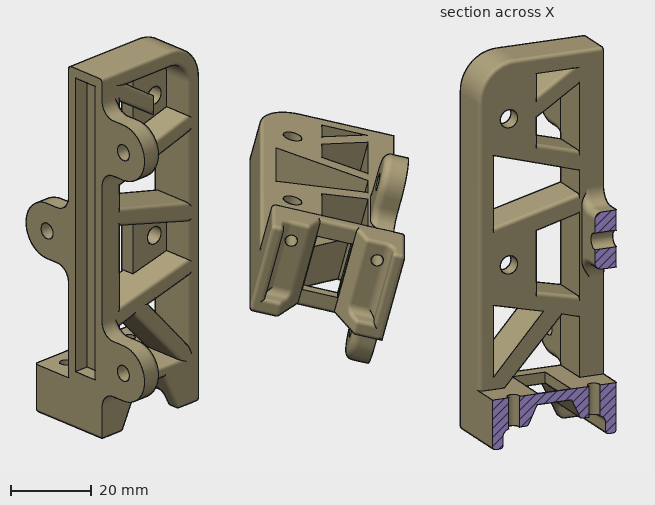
import cadquery as cq
import math

HEIGHT = 98.0
DEPTH = 34.0
COLUMN_WIDTH = 12.0
EDGE_ROUND = 1.0
TOLERANCE = 0.1

RIGHT = COLUMN_WIDTH / 2
TOP_BACK_RADIUS = 10.0
GROOVE_WIDTH = 7.0
GROOVE_DEPTH = 4.0
GROOVE_BOTTOM = 15.6
GROOVE_TOP = 95.4
CROSS_HOLE_DIAMETER = 4.7
PAD_THICKNESS = 4.0
CROSS_HOLE_Y = 25.9
CROSS_HOLE_HEIGHTS = (45.0, 83.0)

FRONT_POST = 6.6
MID_POST = 18.4
BACK_POST = 30.1
TOP_WINDOW_HEAD = 93.8

LUG_WIDTH = 15.0
LUG_RADIUS = LUG_WIDTH / 2
LUG_HOLE_X = 13.5
LUG_HOLE_DIAMETER = 4.2
LUG_THICKNESS = 6.0
LUG_ROOT_RADIUS = 4.0
LUG_EDGE_ROUND = 2.0
MIDDLE_LUG_Z = 50.6
LUG_PITCH = 30.0

BASE_LENGTH = 2 * COLUMN_WIDTH
BASE_HEIGHT = 13.1
BASE_LEFT = RIGHT - BASE_LENGTH
BASE_MID_X = RIGHT - BASE_LENGTH / 2
MID_Y = DEPTH / 2
TUNNEL_HEIGHT = 10.2
TUNNEL_TOP_WIDTH = 9.3
TUNNEL_BOTTOM_WIDTH = 19.2
END_WALL = 4.0
SIDE_WALL = 3.0
POCKET_HEIGHT = 5.0
POCKET_ROUND = 2.0
OPENING_LENGTH = 15.0
OPENING_WIDTH = 9.0
SCREW_HOLE_DIAMETER = 3.0
SCREW_HOLE_X = -13.0
SCREW_HOLE_SPACING = 22.0

ROUNDED_SILL_WINDOWS = (
    ((MID_POST, TOP_WINDOW_HEAD), (MID_POST, 87.6), (8.6, TOP_WINDOW_HEAD)),
    ((FRONT_POST, 89.9), (MID_POST, 82.4), (MID_POST, 75.4), (FRONT_POST, 72.0)),
    ((FRONT_POST, 67.0), (BACK_POST, 74.0), (BACK_POST, 55.0), (FRONT_POST, 60.8)),
    ((FRONT_POST, 56.1), (MID_POST, 52.9), (MID_POST, 36.8), (FRONT_POST, 34.1)),
)
PLAIN_WINDOWS = (
    ((BACK_POST, 35.0), (16.5, 31.7), (BACK_POST, 16.4)),
    ((FRONT_POST, BASE_HEIGHT), (FRONT_POST, 28.9), (11.4, 30.3), (27.1, BASE_HEIGHT)),
)


def height_at_back_post(start, end):
    """Height where the strut edge through two (y, z) points meets the back post."""
    (y_start, z_start), (y_end, z_end) = start, end
    return z_end + (BACK_POST - y_end) * (z_end - z_start) / (y_end - y_start)


def recess_outlines():
    """Outlines of the recesses behind the cross holes, widening the windows beside them."""
    _, upper_window, _, lower_window = ROUNDED_SILL_WINDOWS
    upper_sill = upper_window[-1], upper_window[-2]
    lower_head = lower_window[0], lower_window[1]
    lower_sill = lower_window[-1], lower_window[-2]
    upper_recess = (
        (MID_POST, TOP_WINDOW_HEAD),
        (BACK_POST, TOP_WINDOW_HEAD),
        (BACK_POST, height_at_back_post(*upper_sill)),
        upper_sill[1],
    )
    lower_recess = (
        lower_head[1],
        (BACK_POST, height_at_back_post(*lower_head)),
        (BACK_POST, height_at_back_post(*lower_sill)),
        lower_sill[1],
    )
    return upper_recess, lower_recess


def make_column():
    """Upright slab with a rounded top back corner, rounded side edges and truss windows."""
    slab = (
        cq.Workplane("XY", origin=(0, 0, BASE_HEIGHT))
        .box(COLUMN_WIDTH, DEPTH, HEIGHT - BASE_HEIGHT, centered=(True, False, False))
        .edges(">Y and >Z")
        .fillet(TOP_BACK_RADIUS)
    )
    slab = slab.faces("<X or >X").edges("not(<Y or <Z)").fillet(EDGE_ROUND)
    for outline in ROUNDED_SILL_WINDOWS + PLAIN_WINDOWS:
        window = cq.Workplane("YZ").polyline(outline).close().extrude(RIGHT, both=True)
        slab = slab.cut(window)
    for outline in ROUNDED_SILL_WINDOWS:
        (y_start, z_start), (y_end, z_end) = outline[-2:]
        sill_middle = (-RIGHT, (y_start + y_end) / 2, (z_start + z_end) / 2)
        slab = slab.edges(cq.selectors.NearestToPointSelector(sill_middle)).fillet(EDGE_ROUND)
    upper_recess, lower_recess = recess_outlines()
    recess_corner_radius = TOP_BACK_RADIUS - (DEPTH - BACK_POST)
    for outline in (upper_recess, lower_recess):
        recess = cq.Workplane("YZ", origin=(PAD_THICKNESS - RIGHT, 0, 0)).polyline(outline).close()
        recess = recess.extrude(COLUMN_WIDTH - PAD_THICKNESS)
        if outline == upper_recess:
            recess = recess.edges(">Y and >Z").fillet(recess_corner_radius)
        slab = slab.cut(recess)
    return slab


def make_cross_holes():
    """Two holes through the column along x."""
    return (
        cq.Workplane("YZ")
        .pushPoints([(CROSS_HOLE_Y, z) for z in CROSS_HOLE_HEIGHTS])
        .circle(CROSS_HOLE_DIAMETER / 2)
        .extrude(RIGHT, both=True)
    )


def make_groove():
    """Shallow upright recess in the front of the column."""
    return cq.Workplane("XY", origin=(0, 0, GROOVE_BOTTOM)).box(
        GROOVE_WIDTH, 2 * GROOVE_DEPTH, GROOVE_TOP - GROOVE_BOTTOM, centered=(True, True, False)
    )


def make_lug(side, z):
    """Rounded ear with flared roots; side is +1 for the right of the column and -1 for the left."""
    root_x = RIGHT + LUG_ROOT_RADIUS
    root_z = LUG_RADIUS + LUG_ROOT_RADIUS
    root_mid_x = root_x - LUG_ROOT_RADIUS * math.sqrt(0.5)
    root_mid_z = root_z - LUG_ROOT_RADIUS * math.sqrt(0.5)
    ear = (
        cq.Workplane("XZ")
        .moveTo(0, -root_z)
        .lineTo(RIGHT, -root_z)
        .threePointArc((root_mid_x, -root_mid_z), (root_x, -LUG_RADIUS))
        .lineTo(LUG_HOLE_X, -LUG_RADIUS)
        .threePointArc((LUG_HOLE_X + LUG_RADIUS, 0), (LUG_HOLE_X, LUG_RADIUS))
        .lineTo(root_x, LUG_RADIUS)
        .threePointArc((root_mid_x, root_mid_z), (RIGHT, root_z))
        .lineTo(0, root_z)
        .close()
        .extrude(-LUG_THICKNESS)
        .faces(">Y").edges().fillet(LUG_EDGE_ROUND)
    )
    hole = cq.Workplane("XZ").center(LUG_HOLE_X, 0).circle(LUG_HOLE_DIAMETER / 2)
    ear = ear.cut(hole.extrude(-LUG_THICKNESS))
    if side < 0:
        ear = ear.mirror("YZ")
    return ear.translate((0, 0, z))


def make_base():
    """Block with a trapezoid tunnel along x and a long pocket closed by the right end wall."""
    block = cq.Workplane("XY", origin=(BASE_MID_X, 0, 0)).box(
        BASE_LENGTH, DEPTH, BASE_HEIGHT, centered=(True, False, False)
    )
    tunnel = (
        cq.Workplane("YZ", origin=(BASE_LEFT, MID_Y, 0))
        .moveTo(-TUNNEL_BOTTOM_WIDTH / 2, 0)
        .lineTo(-TUNNEL_TOP_WIDTH / 2, TUNNEL_HEIGHT)
        .lineTo(TUNNEL_TOP_WIDTH / 2, TUNNEL_HEIGHT)
        .lineTo(TUNNEL_BOTTOM_WIDTH / 2, 0)
        .close()
        .extrude(BASE_LENGTH)
    )
    pocket = (
        cq.Workplane("XY", origin=(BASE_LEFT, SIDE_WALL, 0))
        .box(BASE_LENGTH - END_WALL, DEPTH - 2 * SIDE_WALL, POCKET_HEIGHT, centered=False)
        .faces(">Z").edges("not <X").fillet(POCKET_ROUND)
    )
    block = block.cut(tunnel).cut(pocket)

    wall_x = RIGHT - END_WALL
    left_edges = block.faces("<X").edges("not >Z")
    bottom_edges = block.faces("<Z").edges()
    right_edges = block.faces(">X").edges("not (>Z or <Y)")
    flat_height = POCKET_HEIGHT - POCKET_ROUND
    inner_side = cq.selectors.BoxSelector(
        (wall_x - TOLERANCE, 0, TOLERANCE), (wall_x + TOLERANCE, DEPTH, flat_height - TOLERANCE)
    )
    wall_flanks = block.edges(inner_side).edges("not |Z")
    block = left_edges.add(bottom_edges).add(right_edges).add(wall_flanks).fillet(EDGE_ROUND)

    opening = cq.Workplane("XY").center(BASE_MID_X, MID_Y).rect(OPENING_LENGTH, OPENING_WIDTH)
    screw_holes = (
        cq.Workplane("XY")
        .center(SCREW_HOLE_X, MID_Y)
        .rarray(1, SCREW_HOLE_SPACING, 1, 2)
        .circle(SCREW_HOLE_DIAMETER / 2)
    )
    return block.cut(opening.extrude(BASE_HEIGHT)).cut(screw_holes.extrude(BASE_HEIGHT))


def round_right_openings(body):
    """Round the rims of all truss openings on the right side of the column."""
    right_face = body.faces(">X").val()
    rims = [edge for wire in right_face.innerWires() for edge in wire.Edges()]
    return body.newObject(rims).fillet(EDGE_ROUND)


result = round_right_openings(make_base().union(make_column()))
for lug_side, lug_z in (
    (1, MIDDLE_LUG_Z - LUG_PITCH),
    (-1, MIDDLE_LUG_Z),
    (1, MIDDLE_LUG_Z + LUG_PITCH),
):
    result = result.union(make_lug(lug_side, lug_z))
result = result.cut(make_groove()).cut(make_cross_holes())